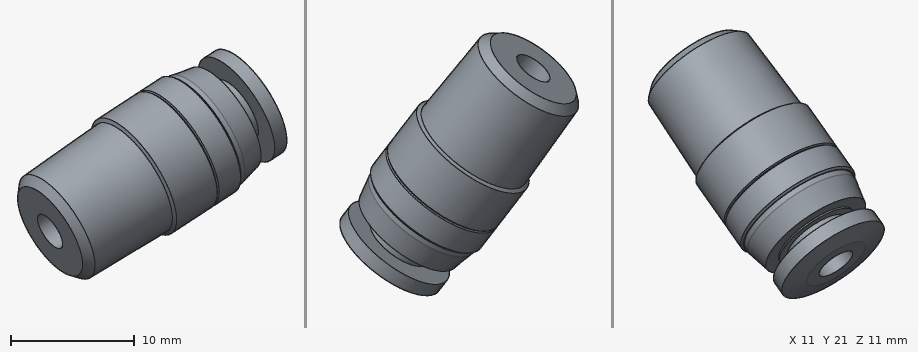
import cadquery as cq

LENGTH = 21.0
FRONT_Y = -LENGTH / 2
BACK_Y = LENGTH / 2

BODY_RADIUS = 5.5
BUTTON_RADIUS = 4.94
BUTTON_FACE_RADIUS = 2.81
NECK_RADIUS = 2.81
STEP_RADIUS = 3.6
COLLAR_TIP_RADIUS = 4.8
COLLAR_RADIUS = 5.25
PLUG_ROOT_RADIUS = 5.17
PLUG_TIP_RADIUS = 4.91
BORE_RADIUS = 1.62

BUTTON_BEVEL = 0.42
BUTTON_RIM = 1.25
NECK_LENGTH = 1.18
STEP_LENGTH = 0.15
COLLAR_TAPER = 2.02
COLLAR_STRAIGHT = 0.48
RING_LENGTH = 2.5
PLUG_LENGTH = 8.53

BODY_CHAMFER = 0.17
GROOVE_CHAMFER = 0.1
PLUG_CHAMFER = 0.71

rim_back = BACK_Y - BUTTON_BEVEL
rim_front = rim_back - BUTTON_RIM
neck_front = rim_front - NECK_LENGTH
step_front = neck_front - STEP_LENGTH
taper_front = step_front - COLLAR_TAPER
ring_back = taper_front - COLLAR_STRAIGHT
groove_y = ring_back - RING_LENGTH
body_front = FRONT_Y + PLUG_LENGTH


def revolve_profile(points):
    """Turn an outer (radius, y) outline around the Y axis."""
    axis_back = (0, points[0][1])
    axis_front = (0, points[-1][1])
    outline = cq.Workplane("XY").polyline([axis_back, *points, axis_front]).close()
    return outline.revolve(360, (0, 0, 0), (0, 1, 0))


def make_button():
    """Bevelled release button, its neck and the low step it enters."""
    return revolve_profile([
        (BUTTON_FACE_RADIUS, BACK_Y),
        (BUTTON_RADIUS, rim_back),
        (BUTTON_RADIUS, rim_front),
        (NECK_RADIUS, rim_front),
        (NECK_RADIUS, neck_front),
        (STEP_RADIUS, neck_front),
        (STEP_RADIUS, step_front),
    ])


def make_collar():
    """Tapered collar with a short straight end."""
    return revolve_profile([
        (COLLAR_TIP_RADIUS, step_front),
        (COLLAR_RADIUS, taper_front),
        (COLLAR_RADIUS, ring_back),
    ])


def make_band(back, front, back_chamfer, front_chamfer, front_radius):
    """Full-diameter band with both rims chamfered; front_radius is its front face."""
    return revolve_profile([
        (BODY_RADIUS - back_chamfer, back),
        (BODY_RADIUS, back - back_chamfer),
        (BODY_RADIUS, front + front_chamfer),
        (front_radius, front),
    ])


def make_plug():
    """Slightly tapered plug with a chamfered tip."""
    return revolve_profile([
        (PLUG_ROOT_RADIUS, body_front),
        (PLUG_TIP_RADIUS, FRONT_Y + PLUG_CHAMFER),
        (PLUG_TIP_RADIUS - PLUG_CHAMFER, FRONT_Y),
    ])


groove_radius = BODY_RADIUS - GROOVE_CHAMFER
ring = make_band(ring_back, groove_y, BODY_CHAMFER, GROOVE_CHAMFER, groove_radius)
body = make_band(groove_y, body_front, GROOVE_CHAMFER, BODY_CHAMFER, PLUG_ROOT_RADIUS)

bore = cq.Workplane("XZ", origin=(0, BACK_Y, 0)).circle(BORE_RADIUS).extrude(LENGTH)

result = make_button().union(make_collar()).union(ring).union(body).union(make_plug()).cut(bore)